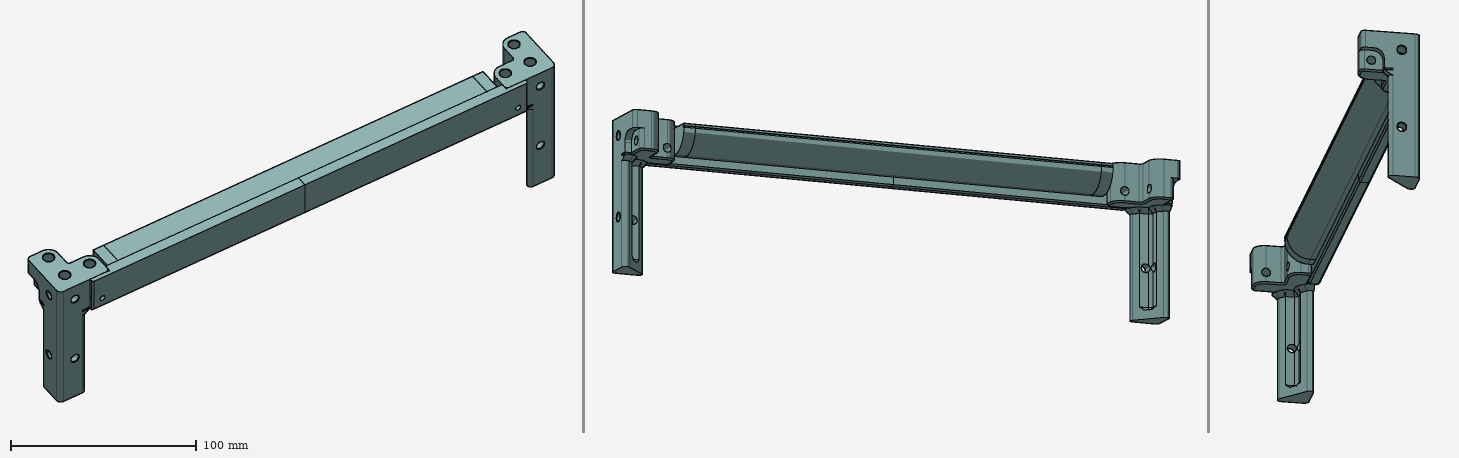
import cadquery as cq
import math


total_length = 320.0
total_depth = 35.0
total_height = 84.0
edge_chamfer = 1.0
bevel_angle = 45.0

hole_inset = 10.2
hole_pitch = 16.0
arm_tip_radius = 6.0
arm_width = hole_inset + arm_tip_radius
head_side = arm_width + hole_pitch
head_height = 22.0
inner_corner_radius = 1.5
outer_corner_radius = 3.0
arm_outer_radius = 2.2
head_bottom = total_height - head_height

top_hole_diameter = 6.0
top_hole_depth = 6.5
hole_mouth_bevel = 0.3
side_hole_diameter = 4.8
side_hole_drop = 10.0
arm_hole_drop = 15.7
leg_hole_height = 28.8

notch_depth = 4.0
notch_height = 12.0
notch_start = 20.0
notch_radius = 5.8

leg_side = 20.5
leg_tip_radius = 2.2
leg_flare = 3.0
leg_wall = 6.7
leg_top = head_bottom + edge_chamfer
groove_bevel = 2.0
groove_floor = 5.0

rail_end = total_length / 2 - notch_start
rail_joint = -3.5
rail_front = head_side - notch_depth
rail_screw_diameter = 3.2

bar_front = 12.8
bar_width = rail_front - bar_front
bar_half_length = 125.5
cap_length = 6.7
bar_drop = 2.0
bar_top = total_height - bar_drop
cover_thickness = 1.3
lens_chamfer = 1.0
lens_radius = 12.8


def across_diagonal(shape):
    """Copy of a bracket feature on the other outer face."""
    return shape.mirror((1, 1, 0))


def place_bracket(shape):
    """Move a bracket shape from the Z axis to the -Y end."""
    return shape.translate((head_side, -total_length / 2, 0))


def beveled_cutter(mouth_plane, diameter, depth):
    """Cutter for a hole with a small bevel at its mouth, going along the normal of the mouth plane."""
    bore = cq.Workplane(mouth_plane).circle(diameter / 2).extrude(depth)
    mouth_radius = diameter / 2 + hole_mouth_bevel
    bevel = cq.Workplane(mouth_plane).circle(mouth_radius).extrude(hole_mouth_bevel, taper=bevel_angle)
    return bore.union(bevel)


def outer_face_plane(inset, height):
    """Plane on the bracket's outer Y face, facing inward, at a distance from the outer X face."""
    return cq.Plane(origin=(-inset, 0, height), xDir=(1, 0, 0), normal=(0, 1, 0))


def make_arm_hole():
    plane = outer_face_plane(hole_inset + hole_pitch, total_height - arm_hole_drop)
    return cq.Workplane(plane).circle(side_hole_diameter / 2).extrude(arm_width)


def make_corner_hole(height, depth):
    """Side hole in line with the corner hole of the top face."""
    return beveled_cutter(outer_face_plane(hole_inset, height), side_hole_diameter, depth)



def make_notch():
    """Recess in the outer Y face of one arm, open at the tip and at the bottom."""
    return (
        cq.Workplane("XY", origin=(-head_side, 0, head_bottom))
        .box(head_side - notch_start, notch_depth, notch_height, centered=False)
        .edges("|Y and >X and >Z")
        .fillet(notch_radius)
    )


def round_edge(head, x, y, radius):
    """Round the vertical edge of the head that is nearest to a place in plan."""
    near = cq.selectors.NearestToPointSelector((x, y, head_bottom + head_height / 2))
    return head.edges("|Z").edges(near).fillet(radius)


def make_head():
    head = (
        cq.Workplane("XY", origin=(0, 0, head_bottom))
        .polyline([
            (0, 0), (0, head_side), (-arm_width, head_side),
            (-arm_width, arm_width), (-head_side, arm_width), (-head_side, 0),
        ])
        .close()
        .extrude(head_height)
    )

    head = round_edge(head, 0, 0, outer_corner_radius)
    head = round_edge(head, -arm_width, arm_width, inner_corner_radius)
    head = round_edge(head, -arm_width, head_side, arm_tip_radius)
    head = round_edge(head, -head_side, arm_width, arm_tip_radius)
    for x, y in ((-head_side, 0), (0, head_side)):
        head = round_edge(head, x, y, arm_outer_radius)

    notch = make_notch()
    head = head.cut(notch).cut(across_diagonal(notch))
    for x, y in ((-head_side, notch_depth), (-notch_depth, head_side)):
        head = round_edge(head, x, y, arm_outer_radius)
    return head.faces("<Z").edges().chamfer(edge_chamfer)


def leg_outline():
    """Triangular leg without its groove, rounded along its three vertical edges."""
    return (
        cq.Workplane("XY")
        .polyline([(0, 0), (0, leg_side), (-leg_side, 0)])
        .close()
        .extrude(leg_top)
        .edges("|Z and >X and <Y")
        .fillet(outer_corner_radius)
        .edges("|Z")
        .edges(">Y or <X")
        .fillet(leg_tip_radius)
    )


def make_groove():
    """Square groove along the slanted face of the leg, bevelled along its inner edges."""
    width = leg_side - leg_wall
    return (
        cq.Workplane("XY", origin=(-leg_side, leg_wall, groove_floor))
        .box(width, width, leg_top - groove_floor, centered=False)
        .edges("(|Z and >X and <Y) or (<Z and >X) or (<Z and <Y)")
        .chamfer(groove_bevel)
    )


def make_leg_flare(leg):
    """Sloped root that widens the grooved section on its inner sides to meet the head."""
    section = leg.faces(">Z").wires().toPending().workplane()
    flare = section.extrude(leg_flare, taper=-bevel_angle, combine=False)
    quadrant = (
        cq.Workplane("XY", origin=(-head_side, 0, 0))
        .box(head_side, head_side, head_bottom, centered=False)
        .edges("|Z and >X and <Y")
        .fillet(outer_corner_radius)
    )
    return flare.translate((0, 0, head_bottom - leg_flare - leg_top)).intersect(quadrant)


def make_leg():
    leg = leg_outline().cut(make_groove())
    return leg.union(make_leg_flare(leg))


def make_bracket():
    far_hole = hole_inset + hole_pitch
    side_hole_height = total_height - side_hole_drop
    crossing_depth = hole_inset + side_hole_diameter / 2

    arm_hole = make_arm_hole()
    leg_hole = make_corner_hole(leg_hole_height, leg_side)
    upper_hole = make_corner_hole(side_hole_height, hole_inset)
    crossing_hole = make_corner_hole(side_hole_height, crossing_depth)

    body = make_head().union(make_leg())
    for cutter in (arm_hole, leg_hole, upper_hole):
        body = body.cut(cutter)
    for cutter in (arm_hole, leg_hole, crossing_hole):
        body = body.cut(across_diagonal(cutter))

    top_holes = [(-hole_inset, hole_inset), (-far_hole, hole_inset), (-hole_inset, far_hole)]
    for x, y in top_holes:
        mouth_plane = cq.Plane(origin=(x, y, total_height), xDir=(1, 0, 0), normal=(0, 0, -1))
        body = body.cut(beveled_cutter(mouth_plane, top_hole_diameter, top_hole_depth))
    return place_bracket(body)


def make_rail(joint):
    """Rail from its -Y end, which fills the bracket notch, to the joint."""
    outer_layer = (
        cq.Workplane("XY", origin=(head_side, -rail_end, head_bottom))
        .box(total_depth - head_side, joint + rail_end, head_height, centered=False)
        .faces(">X")
        .edges("<Z or <Y")
        .chamfer(edge_chamfer)
    )
    bracket_tip = head_side - total_length / 2
    inner_layer = (
        cq.Workplane("XY", origin=(rail_front, bracket_tip, head_bottom))
        .box(notch_depth, joint - bracket_tip, head_height, centered=False)
    )
    notch_filling = place_bracket(across_diagonal(make_notch()))
    rail = outer_layer.union(inner_layer).union(notch_filling)
    rail = rail.faces("<X").edges("<Z").chamfer(edge_chamfer)
    screw_hole = (
        cq.Workplane("YZ", origin=(rail_front, 0, 0))
        .center(hole_inset + hole_pitch - total_length / 2, total_height - arm_hole_drop)
        .circle(rail_screw_diameter / 2)
        .extrude(total_depth - rail_front)
    )
    return rail.cut(screw_hole)



def cover_outline():
    return (
        cq.Workplane("XZ", origin=(bar_front, 0, bar_top))
        .polyline([(0, 0), (bar_width, 0), (bar_width, -cover_thickness), (0, -cover_thickness)])
        .close()
    )


def lens_outline():
    lens_top = bar_top - cover_thickness
    arc_start = lens_top - lens_chamfer
    diagonal = lens_radius * math.sqrt(0.5)
    center_x = bar_front + lens_radius
    return (
        cq.Workplane("XZ")
        .moveTo(rail_front, lens_top)
        .lineTo(bar_front + lens_chamfer, lens_top)
        .lineTo(bar_front, arc_start)
        .threePointArc((center_x - diagonal, arc_start - diagonal), (center_x, arc_start - lens_radius))
        .lineTo(rail_front, arc_start - lens_radius)
        .close()
    )


def along_bar(outline, y_start, y_end):
    """Bar section extruded over a stretch of Y."""
    return outline.extrude(y_start - y_end).translate((0, y_start, 0))


def make_cap(y_start):
    cover_part = along_bar(cover_outline(), y_start, y_start + cap_length)
    lens_part = along_bar(lens_outline(), y_start, y_start + cap_length)
    return cover_part.union(lens_part)


lower_bracket = make_bracket()
upper_bracket = lower_bracket.mirror("XZ")
rails = [make_rail(rail_joint), make_rail(-rail_joint).mirror("XZ")]
lens_end = bar_half_length - cap_length
cover = along_bar(cover_outline(), -lens_end, lens_end)
lens = along_bar(lens_outline(), -lens_end, lens_end)
caps = [make_cap(y_start) for y_start in (-bar_half_length, lens_end)]

bodies = [lower_bracket, upper_bracket, *rails, cover, lens, *caps]
result = cq.Compound.makeCompound([body.val() for body in bodies])